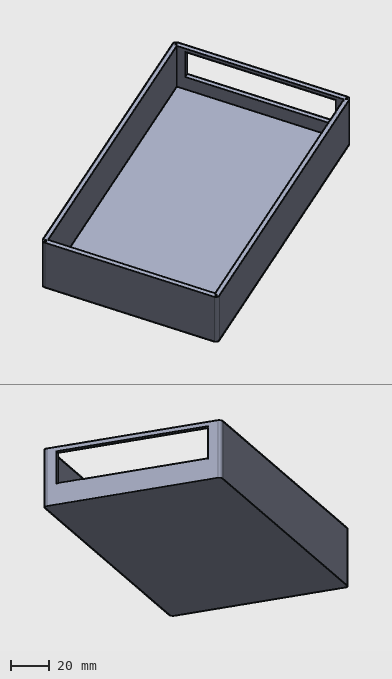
import cadquery as cq

width = 99.7
length = 163.2
height = 32.0

wall = 2.6
floor_thickness = 3.0
corner_radius = 2.0

window_side_margin = 4.7
window_top_margin = 2.5
window_height = 17.8

rim_hole_diameter = 0.8
rim_hole_depth = 4.9
rim_hole_inset = 1.6

inner_width = width - 2 * wall
inner_length = length - 2 * wall


def tray_body():
    """Rectangular block with rounded vertical corners."""
    block = cq.Workplane("XY").box(width, length, height, centered=(True, True, False))
    return block.edges("|Z").fillet(corner_radius)


def cavity():
    """Sharp-cornered space above the floor, open at the rim."""
    return (
        cq.Workplane("XY")
        .workplane(offset=floor_thickness)
        .rect(inner_width, inner_length)
        .extrude(height - floor_thickness)
    )


def back_window():
    """Rectangular cutter passing through the back wall only."""
    window_width = inner_width - 2 * window_side_margin
    window_bottom = height - window_top_margin - window_height
    return (
        cq.Workplane("XY")
        .box(window_width, 2 * wall, window_height, centered=(True, True, False))
        .translate((0, (length - wall) / 2, window_bottom))
    )


def rim_holes():
    """Four vertical cutters sunk from the rim into the corners."""
    return (
        cq.Workplane("XY")
        .workplane(offset=height - rim_hole_depth)
        .rect(width - 2 * rim_hole_inset, length - 2 * rim_hole_inset, forConstruction=True)
        .vertices()
        .circle(rim_hole_diameter / 2)
        .extrude(rim_hole_depth)
    )


result = tray_body().cut(cavity()).cut(back_window()).cut(rim_holes())